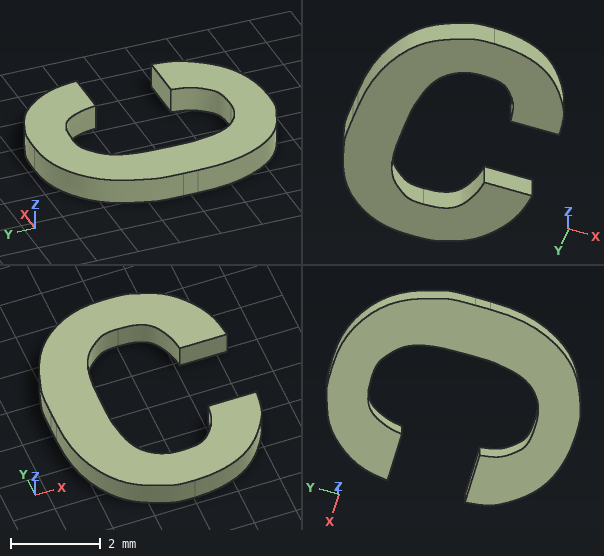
import cadquery as cq

width = 4.51
height = 5.68
thickness = 0.6

left = -width / 2
right = width / 2
top = height / 2
bottom = -height / 2

flat_top = 0.18
flat_bottom = -0.165

upper_end = 0.89
lower_end = -0.91

left_stroke = 1.165
inner_left = left + left_stroke
inner_top = 1.92
inner_bottom = -1.91
upper_inner_right = 1.115
lower_inner_right = 1.095

crest_x = 0.03

UP = (0, 1)
DOWN = (0, -1)
LEFT = (-1, 0)
RIGHT = (1, 0)
UPPER_OUTER_START = (-0.12, 1)
LOWER_OUTER_FINISH = (0.1, 1)
LOWER_INNER_START = (-0.12, -1)
UPPER_INNER_FINISH = (0.12, -1)


def curve(sketch, through, finish, start_direction, finish_direction):
    """Add a smooth curve from the current point to the finish."""
    return sketch.spline(
        through + [finish],
        tangents=[start_direction, finish_direction],
        includeCurrent=True,
    )


outline = cq.Workplane("XY").moveTo(right, upper_end)

outline = curve(outline, [(2.14, 1.49), (1.74, 2.175), (1.225, 2.585), (0.905, 2.71)],
                (crest_x, top), UPPER_OUTER_START, LEFT)
outline = curve(outline, [(-0.77, 2.72), (-1.465, 2.31), (-1.99, 1.58), (-2.19, 0.945)],
                (left, flat_top), LEFT, DOWN)
outline = outline.lineTo(left, flat_bottom)
outline = curve(outline, [(-2.075, -1.385), (-1.58, -2.21), (-1.23, -2.48), (-0.625, -2.75)],
                (crest_x, bottom), DOWN, RIGHT)
outline = curve(outline, [(0.755, -2.755), (1.56, -2.345), (2.085, -1.66)],
                (right, lower_end), RIGHT, LOWER_OUTER_FINISH)

outline = outline.lineTo(lower_inner_right, lower_end)
outline = curve(outline, [(0.99, -1.385), (0.8, -1.66)],
                (crest_x, inner_bottom), LOWER_INNER_START, LEFT)
outline = curve(outline, [(-0.46, -1.795), (-0.875, -1.385), (-1.06, -0.7)],
                (inner_left, 0), LEFT, UP)
outline = curve(outline, [(-1.055, 0.805), (-0.82, 1.49), (-0.53, 1.76)],
                (crest_x, inner_top), UP, RIGHT)
outline = curve(outline, [(0.86, 1.625), (1.0, 1.35)],
                (upper_inner_right, upper_end), RIGHT, UPPER_INNER_FINISH)

result = outline.close().extrude(thickness)